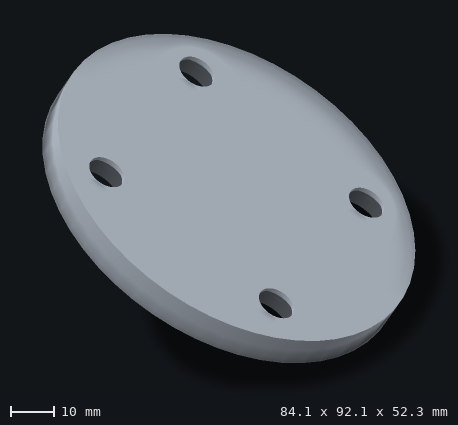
import cadquery as cq

disc_diameter = 92.1
disc_thickness = 8.0
tilt_angle = 29.5

bolt_circle_diameter = 70.0
hole_count = 4
first_hole_angle = 45.0
bore_diameter = 15.0
bore_depth = 4.0
mouth_diameter = 9.0
cone_height = (bore_diameter - mouth_diameter) / 2


def make_disc():
    """Plain disc centred on the origin, axis along Z."""
    return cq.Workplane("XY").cylinder(disc_thickness, disc_diameter / 2)


def make_hole_cutter():
    """Revolved cutter: wide bore, cone and narrow bore, based on the lower face."""
    profile = [
        (0, 0),
        (bore_diameter / 2, 0),
        (bore_diameter / 2, bore_depth),
        (mouth_diameter / 2, bore_depth + cone_height),
        (mouth_diameter / 2, disc_thickness),
        (0, disc_thickness),
    ]
    cutter = cq.Workplane("XZ").polyline(profile).close().revolve(360, (0, 0), (0, 1))
    return cutter.translate((bolt_circle_diameter / 2, 0, -disc_thickness / 2))


def cut_bolt_holes(disc):
    """Cut the equally spaced bolt holes around the disc axis."""
    cutter = make_hole_cutter()
    for index in range(hole_count):
        angle = first_hole_angle + index * 360 / hole_count
        disc = disc.cut(cutter.rotate((0, 0, 0), (0, 0, 1), angle))
    return disc


flat_disc = cut_bolt_holes(make_disc())
result = flat_disc.rotate((0, 0, 0), (0, 1, 0), tilt_angle)